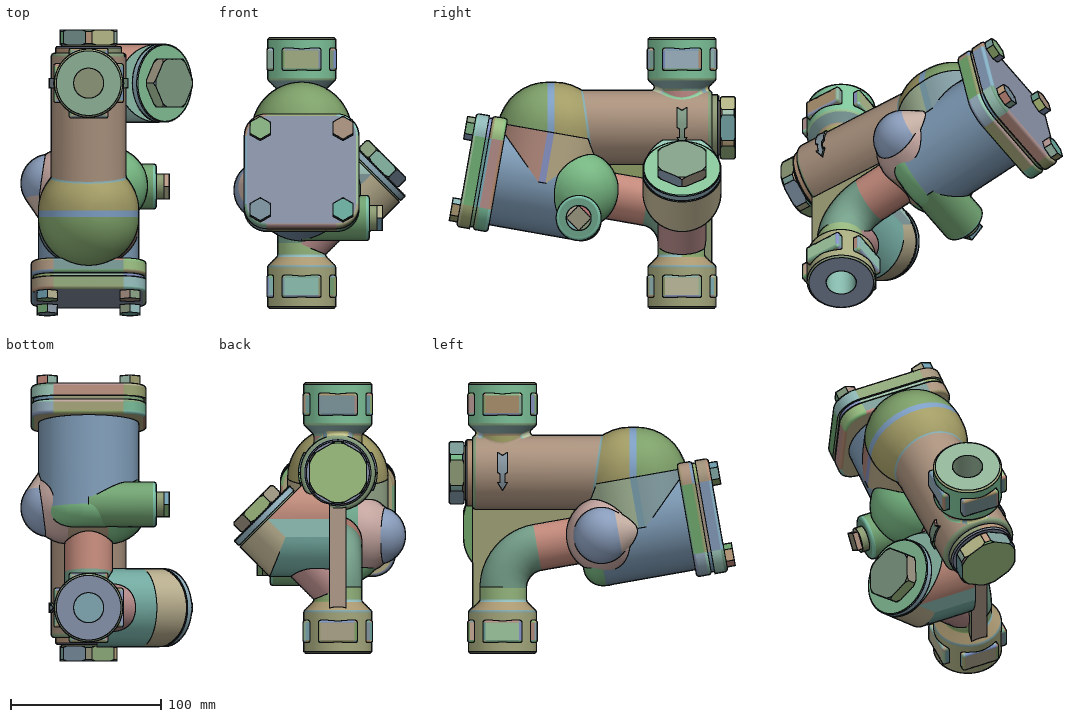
import cadquery as cq
import math

HALF_HEIGHT = 90.0
TILT = 10.0
SELECTION_MARGIN = 1.0

PORT_RADIUS = 22.7
PORT_LENGTH = 28.0
SHOULDER_Z = HALF_HEIGHT - PORT_LENGTH
PORT_CHAMFER = 1.2
CONE_FILLET = 2.5
PORT_BORE_DIAMETER = 20.0
PIPE_RADIUS = 16.0
PAD_ACROSS = 46.4
PAD_WIDTH = 26.0
PAD_HEIGHT = 15.0
PAD_CENTER_FROM_END = 14.5
PAD_FILLET = 1.7

BARREL_RADIUS = 25.0
BARREL_Z = 30.0
BARREL_BACK_Y = 20.0
BARREL_FILLET = 2.5
NECK_FILLET = 2.0
BALL_JOINT_FILLET = 2.5
COLLAR_RADIUS = 22.0
COLLAR_LENGTH = 4.5
COLLAR_CHAMFER = 1.0
PLUG_NECK_RADIUS = 18.0
PLUG_NECK_LENGTH = 1.0
PLUG_FLATS = 38.0
PLUG_CORNER_RADIUS = 20.8
PLUG_LENGTH = 10.0
PLUG_CHAMFER = 1.0

CHAMBER_RADIUS = 33.4
CHAMBER_DROP = 22.9
CHAMBER_BACK = 47.2
CHAMBER_TOP_BACK = 64.0
CHAMBER_TOP_CUT = 8.0
CHAMBER_BACK_FILLET = 13.0
FLANGE_BACK = 120.4
FLANGE_THICKNESS = 10.0
GASKET_THICKNESS = 2.3
COVER_THICKNESS = 8.7
FLANGE_SIDE = 76.4
FLANGE_CORNER_RADIUS = 15.0
FLANGE_FILLET = 2.0
GASKET_INSET = 1.5
BOLT_HALF_SPACING = 27.5
BOLT_FLATS = 13.4
BOLT_HEAD = 5.6

BALL_BACK_Y = -84.7
BALL_FRONT_Y = -89.3
BALL_Z = 27.0

BEND_RADIUS = 28.0

BULGE_RADIUS = 25.8
BULGE_AXIS_POSITION = 65.2
BULGE_HALF_LENGTH = 13.5
DOME_RADIUS = 19.5
DOME_X = -25.65
DOME_AXIS_POSITION = 63.5
DOME_TAPER_LENGTH = 35.0

DRAIN_Y = -68.7
DRAIN_Z = -30.0
DRAIN_RADIUS = 15.0
DRAIN_END_X = 45.0
DRAIN_FILLET = 2.0
DRAIN_PLUG_DIAMETER = 16.7
DRAIN_PLUG_LENGTH = 5.0
DRAIN_SQUARE_LENGTH = 3.7

STRAINER_ANGLE = 45.0
STRAINER_START_Z = -47.6
STRAINER_RADIUS = 26.0
STRAINER_FRONT = 66.0
STRAINER_GROOVE = 1.2
STRAINER_GROOVE_DEPTH = 1.0
CAP_FACE = 71.7
CAP_CHAMFER = 0.6
CAP_HEX_FLATS = 32.0
CAP_HEX_LENGTH = 8.8
CAP_HEX_CHAMFER = 1.2

WEB_LEFT_X = -5.5
WEB_BACK_Y = 19.8

POCKET_HIGH_Z = -0.8
POCKET_LOW_Z = -13.0
POCKET_BACK_X = 5.5

ARROW_HEIGHT = 1.2
ARROW_HALF_WIDTH = 3.2
ARROW_STEM_HALF_WIDTH = 1.6
ARROW_TOP_Z = 43.5
ARROW_NOTCH_DEPTH = 1.9
ARROW_SHOULDER_Z = 30.3
ARROW_STEM_TOP_Z = 29.0
ARROW_HEAD_Z = 23.4
ARROW_TIP_Z = 18.2

tilt = math.radians(TILT)
AXIS_DIR = cq.Vector(0, -math.cos(tilt), math.sin(tilt))
UP_DIR = cq.Vector(0, math.sin(tilt), math.cos(tilt))
AXIS_CROSSING_Z = -CHAMBER_DROP / math.cos(tilt)
X_DIR = cq.Vector(1, 0, 0)


def chamber_point(along, above=0.0):
    """Point at a distance along the chamber axis and above it."""
    return AXIS_DIR * along + UP_DIR * (above - CHAMBER_DROP)


def chamber_plane(along):
    """Plane square to the chamber axis, with local y pointing up."""
    return cq.Workplane(cq.Plane(chamber_point(along), X_DIR, AXIS_DIR))


def rod(start, direction, length, radius):
    return cq.Workplane(obj=cq.Solid.makeCylinder(radius, length, start, direction))


def ball(center, radius):
    return cq.Workplane("XY").sphere(radius).translate(center.toTuple())


def hex_prism(plane, flats, length, corner_radius, chamfer):
    """Hexagon head whose corners are turned down to a chamfered cylinder."""
    prism = plane.polygon(6, flats, circumscribed=True).extrude(length)
    blank = plane.circle(corner_radius).extrude(length).faces("%PLANE").edges().chamfer(chamfer)
    return prism.intersect(blank)


def port(neck_end_z):
    """Upper port: wrench pads on a cylinder that tapers to the pipe."""
    cone_end_z = SHOULDER_Z - (PORT_RADIUS - PIPE_RADIUS)
    body = (
        cq.Workplane("XZ")
        .moveTo(0, HALF_HEIGHT)
        .lineTo(PORT_RADIUS - PORT_CHAMFER, HALF_HEIGHT)
        .lineTo(PORT_RADIUS, HALF_HEIGHT - PORT_CHAMFER)
        .lineTo(PORT_RADIUS, SHOULDER_Z)
        .lineTo(PIPE_RADIUS, cone_end_z)
        .lineTo(PIPE_RADIUS, neck_end_z)
        .lineTo(0, neck_end_z)
        .close()
        .revolve(360, (0, 0, 0), (0, 1, 0))
    )
    cone_ends = cq.selectors.BoxSelector(
        (-PORT_RADIUS, -PORT_RADIUS, cone_end_z - SELECTION_MARGIN),
        (PORT_RADIUS, PORT_RADIUS, SHOULDER_Z + SELECTION_MARGIN),
    )
    body = body.edges("%CIRCLE").edges(cone_ends).fillet(CONE_FILLET)
    pad_z = HALF_HEIGHT - PAD_CENTER_FROM_END
    for turn in (0, 90):
        pads = (
            cq.Workplane("XY")
            .box(PAD_ACROSS, PAD_WIDTH, PAD_HEIGHT)
            .edges()
            .fillet(PAD_FILLET)
            .rotate((0, 0, 0), (0, 0, 1), turn)
            .translate((0, 0, pad_z))
        )
        body = body.union(pads)
    return body


def barrel():
    """Barrel tube along Y, rounded at its back end."""
    length = BARREL_BACK_Y - BALL_BACK_Y
    start = cq.Vector(0, BARREL_BACK_Y, BARREL_Z)
    tube = rod(start, cq.Vector(0, -1, 0), length, BARREL_RADIUS)
    return tube.faces(">Y").edges().fillet(BARREL_FILLET)


def barrel_with_blends():
    """Barrel with the upper port and the back half of the ball blended into it."""
    body = barrel().union(port(BARREL_Z))
    joint = cq.selectors.BoxSelector(
        (-PORT_RADIUS, -PORT_RADIUS, BARREL_Z + BARREL_RADIUS / 2),
        (PORT_RADIUS, PORT_RADIUS, BARREL_Z + BARREL_RADIUS - SELECTION_MARGIN),
    )
    body = body.edges(joint).fillet(NECK_FILLET)
    body = body.union(ball(cq.Vector(0, BALL_BACK_Y, BALL_Z), CHAMBER_RADIUS))
    ball_joint = cq.selectors.BoxSelector(
        (-CHAMBER_RADIUS, BALL_BACK_Y + SELECTION_MARGIN, BALL_Z - CHAMBER_RADIUS),
        (CHAMBER_RADIUS, -PORT_RADIUS, BALL_Z + CHAMBER_RADIUS),
    )
    return body.edges(ball_joint).edges("not %LINE").fillet(BALL_JOINT_FILLET)


def barrel_plug():
    """Collar and hexagon plug that close the back of the barrel."""
    back = cq.Vector(0, 1, 0)
    start = cq.Vector(0, BARREL_BACK_Y, BARREL_Z)
    collar = rod(start, back, COLLAR_LENGTH, COLLAR_RADIUS).faces(">Y").edges().chamfer(COLLAR_CHAMFER)
    neck = rod(start, back, COLLAR_LENGTH + PLUG_NECK_LENGTH, PLUG_NECK_RADIUS)
    head_start = start + back * (COLLAR_LENGTH + PLUG_NECK_LENGTH)
    head_plane = cq.Workplane(cq.Plane(head_start, X_DIR, back))
    head = hex_prism(head_plane, PLUG_FLATS, PLUG_LENGTH, PLUG_CORNER_RADIUS, PLUG_CHAMFER)
    return collar.union(neck).union(head)


def arrow(side):
    """Raised flow arrow on the barrel, on the -X (side -1) or +X (side 1) flank."""
    half = [
        (0, ARROW_TOP_Z - ARROW_NOTCH_DEPTH),
        (ARROW_HALF_WIDTH, ARROW_TOP_Z),
        (ARROW_HALF_WIDTH, ARROW_SHOULDER_Z),
        (ARROW_STEM_HALF_WIDTH, ARROW_STEM_TOP_Z),
        (ARROW_STEM_HALF_WIDTH, ARROW_HEAD_Z),
        (ARROW_HALF_WIDTH, ARROW_HEAD_Z),
        (0, ARROW_TIP_Z),
    ]
    other_half = [(-y, z) for y, z in reversed(half[1:-1])]
    outer_radius = BARREL_RADIUS + ARROW_HEIGHT
    prism = cq.Workplane("YZ").polyline(half + other_half).close().extrude(side * outer_radius)
    disc_start = cq.Vector(0, -ARROW_HALF_WIDTH, BARREL_Z)
    disc = rod(disc_start, cq.Vector(0, 1, 0), 2 * ARROW_HALF_WIDTH, outer_radius)
    return prism.intersect(disc)


def ball_housing():
    """Rounded housing at the barrel front and the tilted tube from it down to the chamber."""
    back = cq.Vector(0, BALL_BACK_Y, BALL_Z)
    front = cq.Vector(0, BALL_FRONT_Y, BALL_Z)
    body = ball(back, CHAMBER_RADIUS).union(ball(front, CHAMBER_RADIUS))
    body = body.union(rod(back, cq.Vector(0, -1, 0), BALL_BACK_Y - BALL_FRONT_Y, CHAMBER_RADIUS))
    middle = (back + front) * 0.5
    spacing = (front - back).dot(AXIS_DIR)
    drop = front.dot(UP_DIR) + CHAMBER_DROP
    tube = (
        cq.Workplane(cq.Plane(middle, AXIS_DIR, UP_DIR * -1))
        .slot2D(spacing + 2 * CHAMBER_RADIUS, 2 * CHAMBER_RADIUS)
        .extrude(drop)
    )
    return body.union(tube)


def chamber():
    """Tilted chamber with a rounded back, set further forward over its upper part."""
    tube = chamber_plane(CHAMBER_BACK).circle(CHAMBER_RADIUS).extrude(FLANGE_BACK - CHAMBER_BACK)
    tube = tube.faces(">Y").edges().fillet(CHAMBER_BACK_FILLET)
    cut_length = CHAMBER_TOP_BACK - CHAMBER_BACK
    upper_back = (
        chamber_plane(CHAMBER_BACK)
        .center(0, CHAMBER_TOP_CUT + CHAMBER_RADIUS / 2)
        .rect(2 * CHAMBER_RADIUS, CHAMBER_RADIUS)
        .extrude(cut_length)
    )
    return tube.cut(upper_back)


def flange_slab(along, thickness, inset=0.0):
    """Round-cornered square slab across the chamber axis."""
    side = FLANGE_SIDE - 2 * inset
    slab = chamber_plane(along).rect(side, side).extrude(thickness)
    corners = cq.selectors.ParallelDirSelector(AXIS_DIR)
    return slab.edges(corners).fillet(FLANGE_CORNER_RADIUS - inset)


def flanges_and_cover():
    """Chamber flange, gasket, cover and the four cover bolts."""
    gasket_back = FLANGE_BACK + FLANGE_THICKNESS
    cover_back = gasket_back + GASKET_THICKNESS
    cover_front = cover_back + COVER_THICKNESS
    flange = flange_slab(FLANGE_BACK, FLANGE_THICKNESS).faces(">Y").edges().fillet(FLANGE_FILLET)
    gasket = flange_slab(gasket_back, GASKET_THICKNESS, GASKET_INSET)
    cover = flange_slab(cover_back, COVER_THICKNESS)
    cover = cover.faces(cq.selectors.DirectionMinMaxSelector(AXIS_DIR)).edges().fillet(FLANGE_FILLET)
    body = flange.union(gasket).union(cover)
    for x in (-BOLT_HALF_SPACING, BOLT_HALF_SPACING):
        for up in (-BOLT_HALF_SPACING, BOLT_HALF_SPACING):
            head = (
                chamber_plane(cover_front)
                .center(x, up)
                .polygon(6, BOLT_FLATS, circumscribed=True)
                .extrude(BOLT_HEAD)
            )
            body = body.union(head)
    return body


def elbow():
    """Pipe that rises from the lower port and bends into the chamber axis."""
    bend = math.radians(90 - TILT)
    tangent = BEND_RADIUS * math.tan(bend / 2)
    bend_start_z = AXIS_CROSSING_Z - tangent
    bend_end = cq.Vector(0, 0, AXIS_CROSSING_Z) + AXIS_DIR * tangent
    bend_center = cq.Vector(0, -BEND_RADIUS, bend_start_z)
    bend_middle = bend_center + cq.Vector(0, math.cos(bend / 2), math.sin(bend / 2)) * BEND_RADIUS
    far_end = chamber_point(BULGE_AXIS_POSITION)
    path = (
        cq.Workplane("YZ")
        .moveTo(0, -SHOULDER_Z)
        .lineTo(0, bend_start_z)
        .threePointArc((bend_middle.y, bend_middle.z), (bend_end.y, bend_end.z))
        .lineTo(far_end.y, far_end.z)
    )
    return cq.Workplane("XY", origin=(0, 0, -SHOULDER_Z)).circle(PIPE_RADIUS).sweep(path)


def bulge_and_dome():
    """Cross-wise rounded bulge at the chamber back and the tapered dome on its -X side."""
    center = chamber_point(BULGE_AXIS_POSITION)
    half = X_DIR * BULGE_HALF_LENGTH
    body = rod(center - half, X_DIR, 2 * BULGE_HALF_LENGTH, BULGE_RADIUS)
    body = body.union(ball(center - half, BULGE_RADIUS)).union(ball(center + half, BULGE_RADIUS))
    dome_center = chamber_point(DOME_AXIS_POSITION) + X_DIR * DOME_X
    taper_angle = math.asin(DOME_RADIUS / DOME_TAPER_LENGTH)
    cone_start = DOME_RADIUS * math.sin(taper_angle)
    cone_radius = DOME_RADIUS * math.cos(taper_angle)
    cone = cq.Solid.makeCone(
        cone_radius, 0, DOME_TAPER_LENGTH - cone_start, dome_center + AXIS_DIR * cone_start, AXIS_DIR
    )
    dome = ball(dome_center, DOME_RADIUS).union(cq.Workplane(obj=cone))
    return body.union(dome)


def drain():
    """Boss on the +X side with a round plug that ends in a square."""
    start = cq.Vector(0, DRAIN_Y, DRAIN_Z)
    boss = rod(start, X_DIR, DRAIN_END_X, DRAIN_RADIUS).faces(">X").edges().fillet(DRAIN_FILLET)
    plug = rod(start, X_DIR, DRAIN_END_X + DRAIN_PLUG_LENGTH, DRAIN_PLUG_DIAMETER / 2)
    square_start = start + X_DIR * (DRAIN_END_X + DRAIN_PLUG_LENGTH)
    square = (
        cq.Workplane(cq.Plane(square_start, cq.Vector(0, 1, 0), X_DIR))
        .polygon(4, DRAIN_PLUG_DIAMETER)
        .extrude(DRAIN_SQUARE_LENGTH)
    )
    return boss.union(plug).union(square)


def pocket(origin, direction):
    """Flat-sided body that runs along X and turns into the round, angled strainer end."""
    diameter = 2 * STRAINER_RADIUS
    slot_height = POCKET_HIGH_Z - POCKET_LOW_Z + diameter
    slot_z = (POCKET_HIGH_Z + POCKET_LOW_Z) / 2
    level = (
        cq.Workplane("YZ", origin=(POCKET_BACK_X, 0, slot_z))
        .slot2D(slot_height, diameter, 90)
        .extrude(STRAINER_FRONT)
    )
    angled = (
        cq.Workplane(cq.Plane(origin, cq.Vector(0, 1, 0), direction))
        .moveTo(-STRAINER_RADIUS, 0)
        .threePointArc((0, -STRAINER_RADIUS), (STRAINER_RADIUS, 0))
        .lineTo(STRAINER_RADIUS, 2 * diameter)
        .lineTo(-STRAINER_RADIUS, 2 * diameter)
        .close()
        .extrude(STRAINER_FRONT)
    )
    return level.intersect(angled)


def strainer():
    """Angled strainer pocket with its screwed cap, lying in the XZ plane."""
    angle = math.radians(STRAINER_ANGLE)
    direction = cq.Vector(math.cos(angle), 0, math.sin(angle))
    origin = cq.Vector(0, 0, STRAINER_START_Z)

    def segment(start, end, radius):
        return rod(origin + direction * start, direction, end - start, radius)

    groove_end = STRAINER_FRONT + STRAINER_GROOVE
    body = segment(0, STRAINER_FRONT, PIPE_RADIUS)
    body = body.union(pocket(origin, direction))
    body = body.union(segment(STRAINER_FRONT, groove_end, STRAINER_RADIUS - STRAINER_GROOVE_DEPTH))
    cap = segment(groove_end, CAP_FACE, STRAINER_RADIUS)
    cap = cap.faces(cq.selectors.DirectionMinMaxSelector(direction)).edges().chamfer(CAP_CHAMFER)
    hex_plane = cq.Workplane(cq.Plane(origin + direction * CAP_FACE, cq.Vector(0, 1, 0), direction))
    corner_radius = CAP_HEX_FLATS / math.sqrt(3)
    head = hex_prism(hex_plane, CAP_HEX_FLATS, CAP_HEX_LENGTH, corner_radius, CAP_HEX_CHAMFER)
    return body.union(cap).union(head)


def web():
    """Flat web between elbow and barrel."""
    front = chamber_point(BULGE_AXIS_POSITION)
    return (
        cq.Workplane("YZ", origin=(WEB_LEFT_X, 0, 0))
        .polyline(
            [
                (WEB_BACK_Y, BARREL_Z),
                (WEB_BACK_Y, -SHOULDER_Z),
                (0, -SHOULDER_Z),
                (0, AXIS_CROSSING_Z),
                (front.y, front.z),
                (front.y, BARREL_Z),
            ]
        )
        .close()
        .extrude(-2 * WEB_LEFT_X)
    )


def bore():
    """Blind bore of the upper port, as deep as the port is long."""
    start = cq.Vector(0, 0, SHOULDER_Z)
    return rod(start, cq.Vector(0, 0, 1), PORT_LENGTH, PORT_BORE_DIAMETER / 2)


part = barrel_with_blends()
part = part.union(ball_housing())
part = part.union(chamber()).union(flanges_and_cover())
part = part.union(elbow()).union(bulge_and_dome()).union(drain())
part = part.union(strainer()).union(web()).union(barrel_plug())
part = part.union(port(SHOULDER_Z - PIPE_RADIUS).mirror("XY"))
for side in (-1, 1):
    part = part.union(arrow(side))
part = part.cut(bore()).cut(bore().mirror("XY"))

result = part